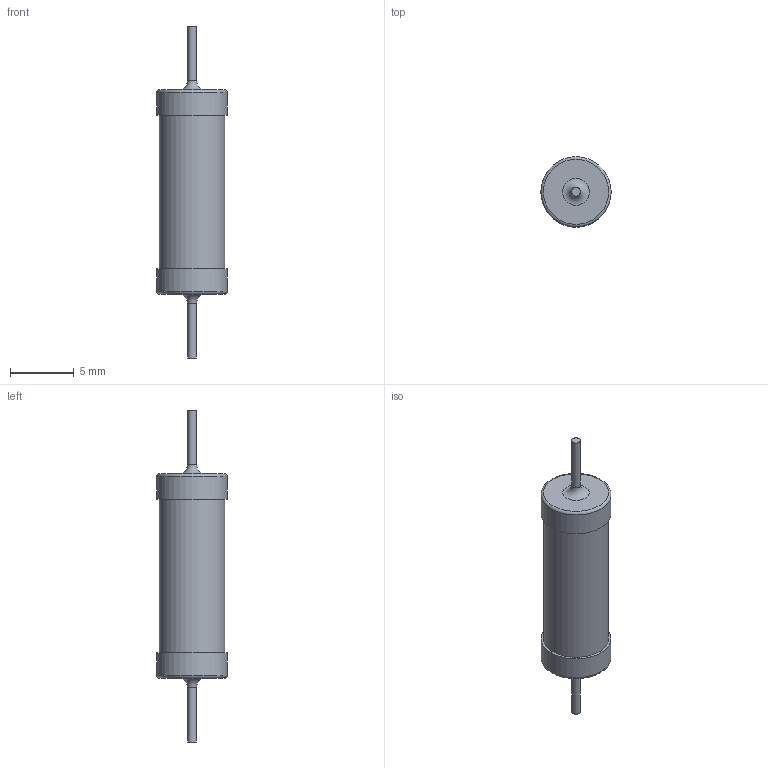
import cadquery as cq
import math

overall_length = 26.0
lead_length = 5.0
lead_diameter = 0.7
lead_flare_radius = 0.7
cap_diameter = 5.5
cap_length = 2.0
cap_edge_radius = 0.2
body_diameter = 5.1

capped_length = overall_length - 2 * lead_length
body_length = capped_length - 2 * cap_length


def make_body():
    """Plain cylinder between the two caps, centred on the origin."""
    return cq.Workplane("XY").circle(body_diameter / 2).extrude(body_length / 2, both=True)


def make_upper_end():
    """Cap with a rounded end edge and a lead that flares into its end face."""
    cap = (
        cq.Workplane("XY", origin=(0, 0, body_length / 2))
        .circle(cap_diameter / 2)
        .extrude(cap_length)
        .faces(">Z")
        .edges()
        .fillet(cap_edge_radius)
    )
    return cap.union(make_upper_lead())


def make_upper_lead():
    """Round wire revolved together with its quarter-circle flare."""
    lead_radius = lead_diameter / 2
    flare_base_z = capped_length / 2
    flare_top_z = flare_base_z + lead_flare_radius
    arc_middle_offset = lead_flare_radius * (1 - math.cos(math.radians(45)))
    profile = (
        cq.Workplane("XZ")
        .moveTo(0, flare_base_z)
        .lineTo(lead_radius + lead_flare_radius, flare_base_z)
        .threePointArc(
            (lead_radius + arc_middle_offset, flare_base_z + arc_middle_offset),
            (lead_radius, flare_top_z),
        )
        .lineTo(lead_radius, overall_length / 2)
        .lineTo(0, overall_length / 2)
        .close()
    )
    return profile.revolve(360, (0, 0, 0), (0, 1, 0))


upper_end = make_upper_end()
lower_end = upper_end.mirror("XY")
result = make_body().union(upper_end).union(lower_end)